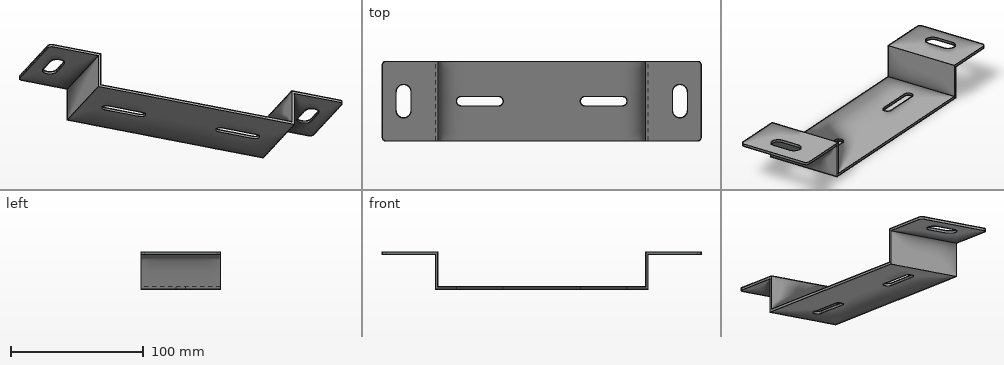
import cadquery as cq

length = 240.0
width = 60.0
height = 28.0
thickness = 2.0

base_length = 160.0
flange_corner_radius = 3.0

flange_slot_offset = 104.0
flange_slot_length = 25.0
flange_slot_width = 11.0

base_slot_offset = 46.5
base_slot_length = 35.0
base_slot_width = 7.0

base_half = base_length / 2
inner_half = base_half - thickness
flange_length = length / 2 - inner_half


def plate(size_x, size_z, center_x, bottom_z):
    """Full-width flat plate standing on bottom_z."""
    return (
        cq.Workplane("XY")
        .box(size_x, width, size_z, centered=(True, True, False))
        .translate((center_x, 0, bottom_z))
    )


def slot_cutter(center_x, slot_length, slot_width, angle):
    """Round-ended slot running through the full height."""
    return cq.Workplane("XY").center(center_x, 0).slot2D(slot_length, slot_width, angle).extrude(height)


result = plate(base_length, thickness, 0, 0)

for side in (-1, 1):
    wall = plate(thickness, height, side * (base_half - thickness / 2), 0)
    flange = plate(flange_length, thickness, side * (inner_half + flange_length / 2), height - thickness)
    outer_corners = "|Z and >X" if side > 0 else "|Z and <X"
    flange = flange.edges(outer_corners).fillet(flange_corner_radius)
    result = result.union(wall).union(flange)

for side in (-1, 1):
    result = result.cut(slot_cutter(side * flange_slot_offset, flange_slot_length, flange_slot_width, 90))
    result = result.cut(slot_cutter(side * base_slot_offset, base_slot_length, base_slot_width, 0))